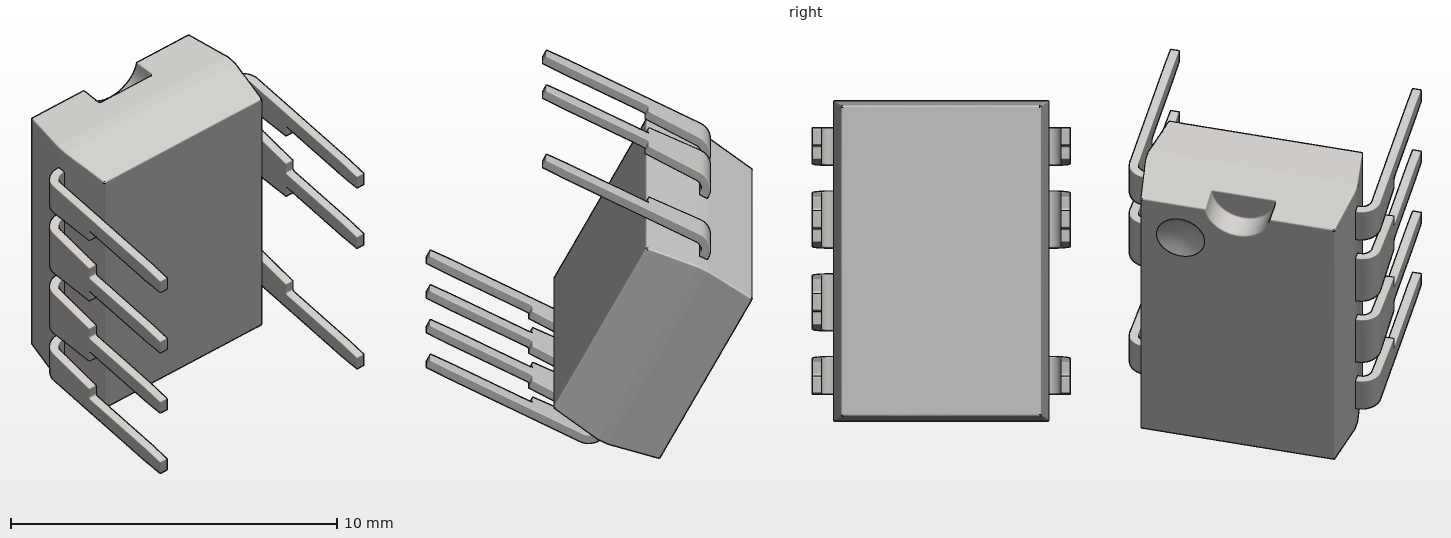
import cadquery as cq
import math


length = 9.83
width = 6.61
thickness = 3.68
band_thickness = 0.35
end_draft = 5.5
side_draft = 8.4
edge_radius = 0.05

notch_radius = 1.02
notch_depth = 0.81
dimple_radius = 0.76
dimple_flat_radius = 0.08
dimple_sphere_radius = 1.47
dimple_y = 1.8
dimple_z = 3.42

pin_pitch = 2.54
pins_per_row = 4
row_span = 7.91
sheet = 0.285
outer_bend_radius = 0.6
leg_width = 0.56
tip_width = 0.48
tip_length = 0.75
tip_x = 5.78
shoulder_x = 2.23
shoulder_half_width = 0.69
taper_angle = 4.7
shoulder_fillet = 0.07
pin_edge_radius = 0.025

face_x = -thickness / 2
row_y = row_span / 2
empty_position = (1, 1)


def rounded_rectangle(rectangle_width, rectangle_length):
    """Cross-section of the housing, with its four corners rounded."""
    return cq.Sketch().rect(rectangle_width, rectangle_length).vertices().fillet(edge_radius)


def housing_half(direction):
    """Drafted half of the housing, narrowing from the band toward +X or -X."""
    height = (thickness - band_thickness) / 2
    end_width = width - 2 * height * math.tan(math.radians(side_draft))
    end_length = length - 2 * height * math.tan(math.radians(end_draft))
    end_sketch = rounded_rectangle(end_width, end_length)
    return (
        cq.Workplane("YZ", origin=(direction * band_thickness / 2, 0, 0))
        .placeSketch(
            rounded_rectangle(width, length),
            end_sketch.moved(cq.Location(cq.Vector(0, 0, direction * height))),
        )
        .loft(ruled=True)
    )


def make_notch():
    """Half-round index notch open to the +Z end."""
    return (
        cq.Workplane("YZ", origin=(face_x, 0, length / 2))
        .circle(notch_radius)
        .extrude(notch_depth)
    )


def make_dimple():
    """Shallow spherical dish with a tiny flat at its centre."""
    rim_height = math.sqrt(dimple_sphere_radius**2 - dimple_radius**2)
    flat_height = math.sqrt(dimple_sphere_radius**2 - dimple_flat_radius**2)
    depth = flat_height - rim_height
    return (
        cq.Workplane("XY", origin=(face_x, dimple_y, dimple_z))
        .lineTo(0, dimple_radius)
        .radiusArc((depth, dimple_flat_radius), dimple_sphere_radius)
        .lineTo(depth, 0)
        .close()
        .revolve(360, (0, 0, 0), (1, 0, 0))
    )


def make_housing():
    """Two drafted halves on a straight band, notched, rounded on its edges and dimpled."""
    band_sketch = rounded_rectangle(width, length)
    band = cq.Workplane("YZ").placeSketch(band_sketch).extrude(band_thickness / 2, both=True)
    block = band.union(housing_half(1)).union(housing_half(-1)).cut(make_notch())
    notch_region = cq.selectors.BoxSelector(
        (face_x - edge_radius, -notch_radius - edge_radius, length / 2 - notch_radius - edge_radius),
        (face_x + notch_depth + edge_radius, notch_radius + edge_radius, length / 2),
    )
    notch_edges = block.edges(notch_region)
    rounded_edges = block.faces("<X or >X").edges().add(notch_edges)
    return block.newObject(rounded_edges.vals()).fillet(edge_radius).cut(make_dimple())


def bent_strip(row):
    """L-shaped bent sheet as long as the housing, on side row (+1 or -1)."""
    straight_end = row_y - outer_bend_radius
    bend_x = outer_bend_radius - sheet / 2
    inner_radius = outer_bend_radius - sheet
    diagonal = math.sin(math.pi / 4)
    return (
        cq.Workplane("XY", origin=(0, 0, -length / 2))
        .moveTo(-sheet / 2, row * width / 2)
        .lineTo(-sheet / 2, row * straight_end)
        .threePointArc(
            (bend_x - outer_bend_radius * diagonal, row * (straight_end + outer_bend_radius * diagonal)),
            (bend_x, row * row_y),
        )
        .lineTo(tip_x, row * row_y)
        .lineTo(tip_x, row * (row_y - sheet))
        .lineTo(bend_x, row * (row_y - sheet))
        .threePointArc(
            (bend_x - inner_radius * diagonal, row * (straight_end + inner_radius * diagonal)),
            (sheet / 2, row * straight_end),
        )
        .lineTo(sheet / 2, row * width / 2)
        .close()
        .extrude(length)
    )


def pin_outline(wide_below, wide_above):
    """Flat outline of a pin about its leg; each edge either flares at the shoulder or stays straight."""
    start_x = -sheet / 2
    root_half_width = shoulder_half_width + (shoulder_x - start_x) * math.tan(math.radians(taper_angle))

    def edge(flares, side):
        points = [(tip_x, side * tip_width / 2), (tip_x - tip_length, side * leg_width / 2)]
        if flares:
            points.append((shoulder_x, side * leg_width / 2))
            points.append((shoulder_x, side * shoulder_half_width))
            points.append((start_x, side * root_half_width))
        else:
            points.append((start_x, side * leg_width / 2))
        return points

    plate = (
        cq.Workplane("XZ")
        .polyline(edge(wide_below, -1) + edge(wide_above, 1)[::-1])
        .close()
        .extrude(row_span, both=True)
    )
    notch_corners = cq.selectors.BoxSelector(
        (shoulder_x - shoulder_fillet, -row_span, -leg_width / 2 - shoulder_fillet),
        (shoulder_x + shoulder_fillet, row_span, leg_width / 2 + shoulder_fillet),
    )
    return plate.edges("|Y").edges(notch_corners).fillet(shoulder_fillet)


def make_pin(row, index):
    """Pin on side row (+1 or -1), counted from the -Z end; its root butts against the band."""
    z = (index - (pins_per_row - 1) / 2) * pin_pitch
    outline = pin_outline(index > 0, index < pins_per_row - 1).translate((0, 0, z))
    blank = bent_strip(row).intersect(outline)
    root = "<Y" if row > 0 else ">Y"
    return blank.edges(f"not({root})").fillet(pin_edge_radius)


housing = make_housing()
pins = [
    make_pin(row, index)
    for row in (-1, 1)
    for index in range(pins_per_row)
    if (row, index) != empty_position
]
result = cq.Compound.makeCompound([housing.solids().val(), *[pin.solids().val() for pin in pins]])